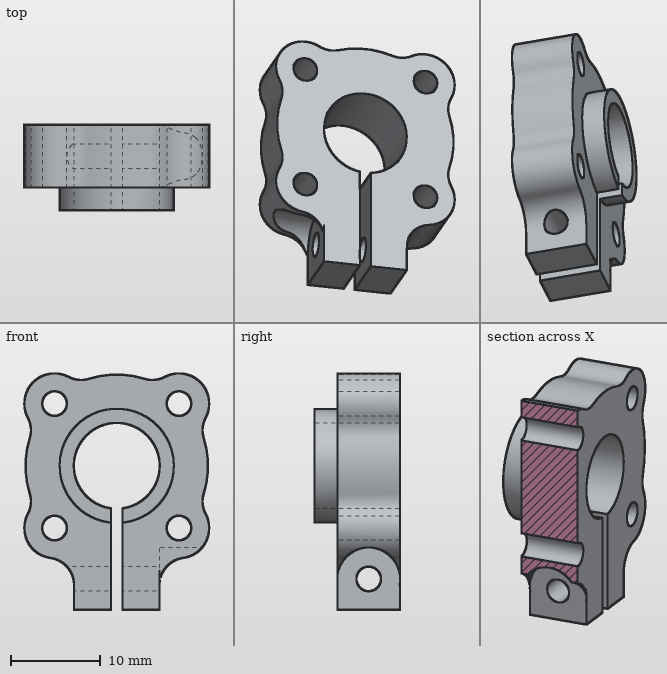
import cadquery as cq
import math

INCH = 25.4

total_depth = 0.375 * INCH
boss_depth = 0.1 * INCH
plate_depth = total_depth - boss_depth
boss_diameter = 0.5 * INCH
bore_diameter = 0.375 * INCH

bolt_circle_diameter = 0.77 * INCH
hole_offset = bolt_circle_diameter / 2 / math.sqrt(2)
outer_width = 20.57
lobe_radius = outer_width / 2 - hole_offset
rim_radius = 0.4 * INCH
blend_radius = 2.94
stem_blend_radius = 3.0
stem_half_width = bore_diameter / 2
overall_height = 26.29
stem_bottom = outer_width / 2 - overall_height

screw_hole_diameter = 2.71
clamp_hole_height = -0.495 * INCH
clamp_axis_offset = -plate_depth / 2
seat_diameter = 7.0
slot_width = 0.05 * INCH


def point_toward(start, end, distance):
    """Point at the given distance from start on the line to end."""
    length = math.dist(start, end)
    return tuple(s + (e - s) * distance / length for s, e in zip(start, end))


def arc_middle(center, start, end):
    """Middle of the shorter arc about center from start to end."""
    chord_middle = ((start[0] + end[0]) / 2, (start[1] + end[1]) / 2)
    return point_toward(center, chord_middle, math.dist(center, start))


def mirrored(point):
    """Point reflected across the Z axis."""
    return (-point[0], point[1])


def swapped(point):
    """Point reflected across the X = Z diagonal."""
    return (point[1], point[0])


def lowered(point):
    """Point reflected across the X axis."""
    return (point[0], -point[1])


def rim_blend():
    """Concave arc from the rim to the upper right lobe: its start, middle and end."""
    origin = (0, 0)
    lobe = (hole_offset, hole_offset)
    to_rim = rim_radius + blend_radius
    to_lobe = lobe_radius + blend_radius
    span = math.dist(origin, lobe)
    corner = math.acos((to_rim**2 + span**2 - to_lobe**2) / (2 * to_rim * span))
    angle = math.pi / 4 + corner
    center = (to_rim * math.cos(angle), to_rim * math.sin(angle))
    start = point_toward(center, origin, blend_radius)
    end = point_toward(center, lobe, blend_radius)
    return start, arc_middle(center, start, end), end


def stem_blend():
    """Concave arc from the lower right lobe to the stem: its start, middle and end."""
    lobe = (hole_offset, -hole_offset)
    center_x = stem_half_width + stem_blend_radius
    drop = math.sqrt((lobe_radius + stem_blend_radius) ** 2 - (center_x - hole_offset) ** 2)
    center = (center_x, -hole_offset - drop)
    start = point_toward(center, lobe, stem_blend_radius)
    end = (stem_half_width, center[1])
    return start, arc_middle(center, start, end), end


def make_plate():
    """Lobed plate with the clamping stem, behind the boss."""
    rim_end, blend_middle, lobe_start = rim_blend()
    stem_start, stem_middle, stem_end = stem_blend()
    outward = hole_offset + lobe_radius / math.sqrt(2)
    upper_lobe = (outward, outward)
    lower_lobe = lowered(upper_lobe)
    right_rim = (rim_radius, 0)

    outline = (
        cq.Workplane("XZ")
        .moveTo(*mirrored(rim_end))
        .threePointArc(swapped(right_rim), rim_end)
        .threePointArc(blend_middle, lobe_start)
        .threePointArc(upper_lobe, swapped(lobe_start))
        .threePointArc(swapped(blend_middle), swapped(rim_end))
        .threePointArc(right_rim, lowered(swapped(rim_end)))
        .threePointArc(lowered(swapped(blend_middle)), lowered(swapped(lobe_start)))
        .threePointArc(lower_lobe, stem_start)
        .threePointArc(stem_middle, stem_end)
        .lineTo(stem_half_width, stem_bottom)
        .lineTo(-stem_half_width, stem_bottom)
        .lineTo(*mirrored(stem_end))
        .threePointArc(mirrored(stem_middle), mirrored(stem_start))
        .threePointArc(mirrored(lower_lobe), mirrored(lowered(swapped(lobe_start))))
        .threePointArc(mirrored(lowered(swapped(blend_middle))), mirrored(lowered(swapped(rim_end))))
        .threePointArc(mirrored(right_rim), mirrored(swapped(rim_end)))
        .threePointArc(mirrored(swapped(blend_middle)), mirrored(swapped(lobe_start)))
        .threePointArc(mirrored(upper_lobe), mirrored(lobe_start))
        .threePointArc(mirrored(blend_middle), mirrored(rim_end))
        .close()
    )
    return outline.extrude(plate_depth)


def make_boss():
    """Round boss reaching from the plate back to the front end of the hub."""
    return cq.Workplane("XZ").circle(boss_diameter / 2).extrude(total_depth)


def make_bore():
    return cq.Workplane("XZ").circle(bore_diameter / 2).extrude(total_depth)


def make_screw_holes():
    """Four mounting holes, one at the centre of each lobe."""
    return (
        cq.Workplane("XZ")
        .rect(2 * hole_offset, 2 * hole_offset, forConstruction=True)
        .vertices()
        .circle(screw_hole_diameter / 2)
        .extrude(total_depth)
    )


def make_slot():
    """Clamping slot from the bore out through the bottom of the stem."""
    return (
        cq.Workplane("XY")
        .box(slot_width, total_depth, -stem_bottom, centered=(True, False, False))
        .translate((0, -total_depth, stem_bottom))
    )


def make_clamp_hole():
    """Cross hole through the stem for the clamping screw."""
    return (
        cq.Workplane("YZ")
        .center(clamp_axis_offset, clamp_hole_height)
        .circle(screw_hole_diameter / 2)
        .extrude(outer_width / 2, both=True)
    )


def make_screw_head_seat():
    """Round seat for the clamping screw head, with its floor flush with the stem's +X side."""
    return (
        cq.Workplane("YZ")
        .workplane(offset=stem_half_width)
        .center(clamp_axis_offset, clamp_hole_height)
        .circle(seat_diameter / 2)
        .extrude(outer_width / 2 - stem_half_width)
    )


result = (
    make_plate()
    .union(make_boss())
    .cut(make_bore())
    .cut(make_screw_holes())
    .cut(make_slot())
    .cut(make_clamp_hole())
    .cut(make_screw_head_seat())
)